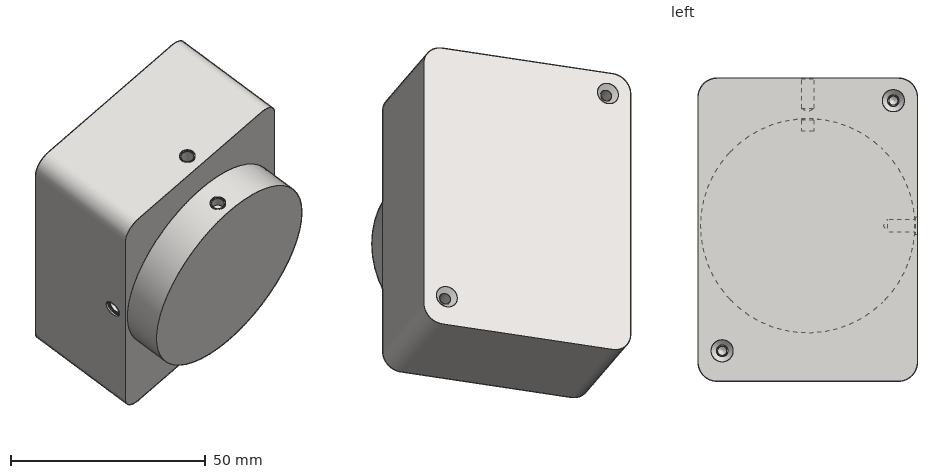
import cadquery as cq
import math

length = 41.7
body_depth = 31.5
body_width = 56.5
body_height = 78.0
corner_radius = 5.0

mount_z = 1.0
mount_diameter = 55.1
mount_length = length - body_depth

drill_point_angle = 118.0
side_mouth_diameter = 4.0
side_pilot_diameter = 3.3
side_mouth_depth = 0.3
side_pilot_depth = 7.8
side_hole_x = 27.1
side_lip_diameter = 4.6
side_lip_depth = 0.55

screw_y = 22.0
screw_offset_z = 32.1
screw_head_diameter = 5.7
screw_mouth_diameter = 3.0
screw_pilot_diameter = 2.35
screw_mouth_depth = 6.25
screw_pilot_depth = 8.6

set_screw_x = 37.75
set_screw_mouth_depth = 0.3
set_screw_depth = 3.1


def revolved_hole(radius_depths, origin, direction):
    """Hole cutter revolved from (radius, depth) points, going inward along direction."""
    profile = [(0, 0)] + radius_depths
    cutter = cq.Workplane("XZ").polyline(profile).close().revolve(360, (0, 0, 0), (0, 1, 0))
    plane = cq.Plane(origin=origin, normal=direction)
    return cutter.val().moved(cq.Location(plane))


def drilled_end(mouth_diameter, pilot_diameter, mouth_depth, pilot_depth):
    """Profile points for the step to the pilot and for its drill point."""
    mouth_radius = mouth_diameter / 2
    pilot_radius = pilot_diameter / 2
    point_length = pilot_radius / math.tan(math.radians(drill_point_angle / 2))
    return [
        (mouth_radius, mouth_depth),
        (pilot_radius, mouth_depth),
        (pilot_radius, pilot_depth),
        (0, pilot_depth + point_length),
    ]


def side_hole(entry_points, mouth_depth, origin, direction):
    """Side hole whose mouth starts with the given profile points."""
    end = drilled_end(side_mouth_diameter, side_pilot_diameter, mouth_depth, side_pilot_depth)
    return revolved_hole(entry_points + end, origin, direction)


def screw_hole(y, z):
    """Drilled hole in the back face with a 90 degree countersink."""
    head_radius = screw_head_diameter / 2
    mouth_radius = screw_mouth_diameter / 2
    head = [(head_radius, 0), (mouth_radius, head_radius - mouth_radius)]
    end = drilled_end(screw_mouth_diameter, screw_pilot_diameter, screw_mouth_depth, screw_pilot_depth)
    return revolved_hole(head + end, (0, y, z), (1, 0, 0))


def mount_cylinder(depth):
    """Cylinder concentric with the mount, its surface lying depth below the mount's."""
    return (
        cq.Workplane("YZ", origin=(body_depth, 0, mount_z))
        .circle(mount_diameter / 2 - depth)
        .extrude(mount_length)
    )


def set_screw_step(diameter, depth):
    """Vertical hole in the mount whose floor follows the mount's curve."""
    drill = (
        cq.Workplane("XY", origin=(set_screw_x, 0, mount_z))
        .circle(diameter / 2)
        .extrude(mount_diameter)
    )
    return drill.cut(mount_cylinder(depth))


body = (
    cq.Workplane("XY")
    .box(body_depth, body_width, body_height, centered=(False, True, True))
    .edges("|X")
    .fillet(corner_radius)
)
result = body.union(mount_cylinder(0))

result = result.cut(set_screw_step(side_mouth_diameter, set_screw_mouth_depth))
result = result.cut(set_screw_step(side_pilot_diameter, set_screw_depth))

top_entry = [(side_mouth_diameter / 2, 0)]
top_centre = (side_hole_x, 0, body_height / 2)
result = result.cut(side_hole(top_entry, side_mouth_depth, top_centre, (0, 0, -1)))

front_entry = [
    (side_lip_diameter / 2, 0),
    (side_lip_diameter / 2, side_lip_depth),
    (side_mouth_diameter / 2, side_lip_depth),
]
front_centre = (side_hole_x, -body_width / 2, mount_z)
front_mouth_depth = side_lip_depth + side_mouth_depth
result = result.cut(side_hole(front_entry, front_mouth_depth, front_centre, (0, 1, 0)))

for side in (1, -1):
    result = result.cut(screw_hole(side * screw_y, mount_z - side * screw_offset_z))